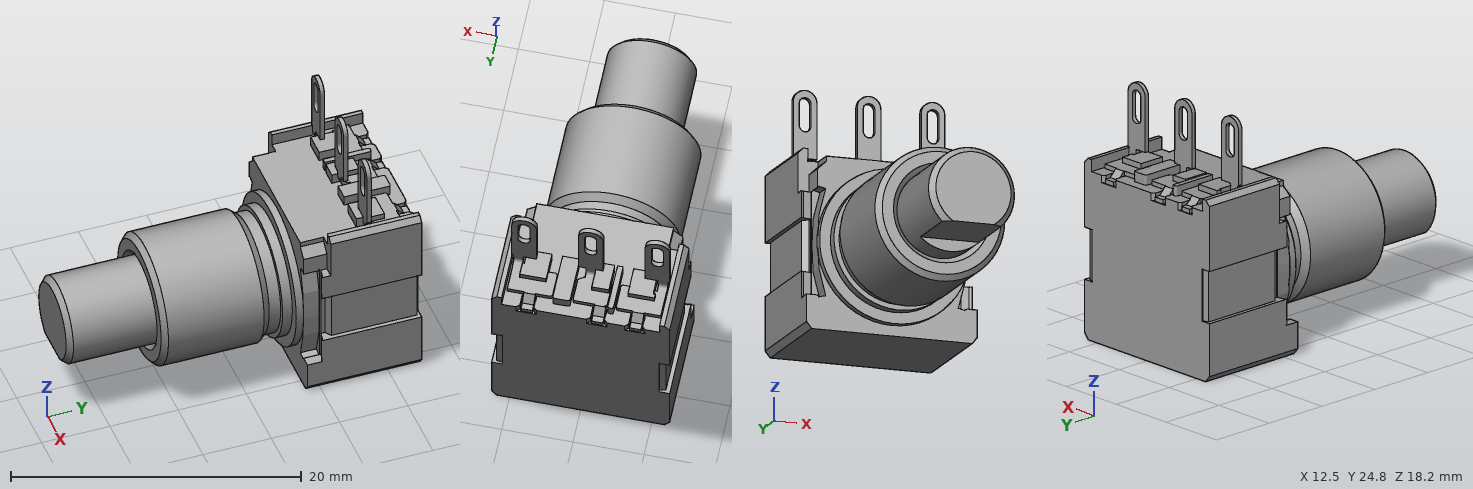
import cadquery as cq
import math


WIDTH = 12.5
HALF_WIDTH = WIDTH / 2
BOTTOM_Z = -6.25
TOP_Z = 6.15
FRONT_Y = -8.37
BOTTOM_CHAMFER_X = 0.37
BOTTOM_CHAMFER_Z = 0.47

WING_TOP_Z = 7.03
WING_INNER_X = 5.55
WING_FRONT_Y = -6.66
WING_CHAMFER = 0.37

SHOULDER_X = 5.47
SHOULDER_TOP_X = 4.8
SHOULDER_TOP_Z = 5.77
SHOULDER_BOTTOM_Z = 5.15

POCKET_TOP_Z = 3.81
POCKET_HALF_FLAT = 0.3
POCKET_FLOOR_X = 5.42
POCKET_END_X = 4.85
POCKET_BEND_X = 5.35
POCKET_BACK_Y = -7.2
POCKET_LIP = 0.12
PLATE_FRONT_Y = -7.33
PLATE_BEVEL_X = 6.05
PLATE_BEVEL_Y = -7.2
PLATE_INNER_Y = -7.1

CHANNEL_HALF_HEIGHT = 1.9
CHANNEL_X = 5.95
CHANNEL_INNER_X = 5.5
CHANNEL_BACK_Y = -0.22
CHANNEL_BACK_BEVEL_Y = -0.12
CHANNEL_FRONT_Y = -6.51
CHANNEL_FRONT_BEVEL_Y = -6.8

FLANGE_RADIUS = 5.5
FLANGE_FRONT_Y = -8.92
COLLAR_RADIUS = 4.7
COLLAR_FRONT_Y = -9.64
NECK_RADIUS = 4.33
NECK_FRONT_Y = -10.48
BARREL_RADIUS = 4.75
BARREL_BACK_Y = -11.0
BARREL_CHAMFER = 0.4
BUSHING_FRONT_Y = -18.4
COUNTERSINK = 0.4

SHAFT_RADIUS = 3.15
SHAFT_CHAMFER = 0.4
SHAFT_FRONT_Y = -24.77
SHAFT_FLAT_Z = -2.3
SHAFT_FLAT_BACK_Y = -20.0

BLOCK_TOP_Z = 6.89
BLOCK_BACK_Y = -2.18
BLOCK_FRONT_Y = -4.19
RIB_BACK_Y = -0.77
RIB_CORNER_RADIUS = 0.15
BLOCK_STEP = 0.15
OUTER_BLOCK_INNER_X = 2.87
OUTER_BLOCK_OUTER_X = 4.73
LEFT_STEP_Y = -2.53
RIGHT_STEP_Y = -3.12
MIDDLE_BLOCK_X = (-1.54, -0.32)
NARROW_RIB_X = (-2.13, -1.73)
WIDE_RIB_X = (0.92, 2.13)

SHEET = 0.32
BASE_BACK_Y = -1.11
BASE_FRONT_Y = -3.0
BASE_CORNER_RADIUS = 0.17
OUTER_BASE_INNER_X = 2.23
OUTER_BASE_OUTER_X = 5.4
MIDDLE_BASE_X = (-1.6, 0.8)
MIDDLE_BASE_FRONT_Y = -3.1
MIDDLE_BASE_CHAMFER_X = 0.42
MIDDLE_BASE_CHAMFER_Y = 0.3
TAB_PITCH = 4.68
TAB_WIDTH = 1.73
TAB_FRONT_Y = -3.77
TAB_BOTTOM_Z = 7.13
TAB_TOP_Z = 12.0
EYE_WIDTH = 0.85
EYE_BOTTOM_Z = 9.05
EYE_TOP_Z = 11.47
STEM_WIDTH = 0.67
STEM_FILLET = 0.1
STEM_OFFSET = 0.4
BEND_INNER_RADIUS = 0.27

OUTER_TAIL_X = 3.81
MIDDLE_TAIL_X = -1.15
TAIL_WIDTH = 0.82
TAIL_FLAT_Z = 5.92
TAIL_SLOPE_BACK_Y = -0.52
TAIL_SLOPE_FRONT_Y = -1.05
TAIL_END_Y = -0.062
NOTCH_HALF_WIDTH = 0.5
NOTCH_MOUTH_HALF_WIDTH = 0.72
NOTCH_MOUTH_Y = -0.2
NOTCH_FRONT_Y = -1.05
NOTCH_FLOOR_Z = TAIL_FLAT_Z - SHEET


def prism_xz(points, back_y, front_y):
    """Outline in X and Z, extruded along Y from back_y to front_y."""
    return cq.Workplane("XZ", origin=(0, back_y, 0)).polyline(points).close().extrude(back_y - front_y)


def prism_xy(points, bottom_z, top_z):
    """Outline in X and Y, extruded along Z from bottom_z to top_z."""
    return cq.Workplane("XY", origin=(0, 0, bottom_z)).polyline(points).close().extrude(top_z - bottom_z)


def box(x_range, y_range, z_range):
    """Rectangular block between the given limits."""
    sizes = [max(limits) - min(limits) for limits in (x_range, y_range, z_range)]
    corner = [min(limits) for limits in (x_range, y_range, z_range)]
    return cq.Workplane("XY").box(*sizes, centered=False).translate(tuple(corner))


def cut_both_sides(body, cutter):
    """Cut the -X cutter and its mirror image on the +X side."""
    return body.cut(cutter).cut(cutter.mirror("YZ"))


def block_with_wings():
    outline = [
        (-HALF_WIDTH + BOTTOM_CHAMFER_X, BOTTOM_Z),
        (HALF_WIDTH - BOTTOM_CHAMFER_X, BOTTOM_Z),
        (HALF_WIDTH, BOTTOM_Z + BOTTOM_CHAMFER_Z),
        (HALF_WIDTH, WING_TOP_Z - WING_CHAMFER),
        (HALF_WIDTH - WING_CHAMFER, WING_TOP_Z),
        (WING_INNER_X, WING_TOP_Z),
        (WING_INNER_X, TOP_Z),
        (-WING_INNER_X, TOP_Z),
        (-WING_INNER_X, WING_TOP_Z),
        (-HALF_WIDTH + WING_CHAMFER, WING_TOP_Z),
        (-HALF_WIDTH, WING_TOP_Z - WING_CHAMFER),
        (-HALF_WIDTH, BOTTOM_Z + BOTTOM_CHAMFER_Z),
    ]
    return prism_xz(outline, 0, FRONT_Y)


def shoulder_cutter():
    outline = [
        (-HALF_WIDTH, POCKET_TOP_Z),
        (-SHOULDER_X, POCKET_TOP_Z),
        (-SHOULDER_X, SHOULDER_BOTTOM_Z),
        (-SHOULDER_TOP_X, SHOULDER_TOP_Z),
        (-SHOULDER_TOP_X, WING_TOP_Z),
        (-HALF_WIDTH, WING_TOP_Z),
    ]
    return prism_xz(outline, WING_FRONT_Y, FRONT_Y)


def pocket_cutter():
    """Gap in front of the side plate, with a floor that bends inward towards both ends."""
    lip_z = POCKET_TOP_Z + POCKET_LIP
    floor = [
        (-SHOULDER_X, -POCKET_TOP_Z),
        (-POCKET_BEND_X, -lip_z),
        (-POCKET_END_X, -POCKET_TOP_Z),
        (-POCKET_BEND_X, -CHANNEL_HALF_HEIGHT),
        (-POCKET_FLOOR_X, -POCKET_HALF_FLAT),
        (-POCKET_FLOOR_X, POCKET_HALF_FLAT),
        (-POCKET_BEND_X, CHANNEL_HALF_HEIGHT),
        (-POCKET_END_X, POCKET_TOP_Z),
        (-POCKET_BEND_X, lip_z),
        (-SHOULDER_X, POCKET_TOP_Z),
    ]
    floor_cutter = prism_xz(floor, POCKET_BACK_Y, FRONT_Y)
    plate_front = [
        (-HALF_WIDTH, FRONT_Y),
        (-SHOULDER_X, FRONT_Y),
        (-SHOULDER_X, PLATE_INNER_Y),
        (-PLATE_BEVEL_X, PLATE_BEVEL_Y),
        (-HALF_WIDTH, PLATE_FRONT_Y),
    ]
    return floor_cutter.union(prism_xy(plate_front, -POCKET_TOP_Z, POCKET_TOP_Z))


def channel_cutter():
    outline = [
        (-HALF_WIDTH, 0),
        (-CHANNEL_INNER_X, 0),
        (-CHANNEL_INNER_X, CHANNEL_BACK_BEVEL_Y),
        (-CHANNEL_X, CHANNEL_BACK_Y),
        (-CHANNEL_X, CHANNEL_FRONT_Y),
        (-CHANNEL_INNER_X, CHANNEL_FRONT_BEVEL_Y),
        (-CHANNEL_INNER_X, PLATE_FRONT_Y),
        (-HALF_WIDTH, PLATE_FRONT_Y),
    ]
    return prism_xy(outline, -CHANNEL_HALF_HEIGHT, CHANNEL_HALF_HEIGHT)


def notch_cutter(center_x):
    outline = [
        (center_x - NOTCH_MOUTH_HALF_WIDTH, 0),
        (center_x - NOTCH_HALF_WIDTH, NOTCH_MOUTH_Y),
        (center_x - NOTCH_HALF_WIDTH, NOTCH_FRONT_Y),
        (center_x + NOTCH_HALF_WIDTH, NOTCH_FRONT_Y),
        (center_x + NOTCH_HALF_WIDTH, NOTCH_MOUTH_Y),
        (center_x + NOTCH_MOUTH_HALF_WIDTH, 0),
    ]
    return prism_xy(outline, NOTCH_FLOOR_Z, TOP_Z)


def bushing():
    """Flange, collar, neck and barrel, turned about the shaft axis."""
    profile = [
        (0, FRONT_Y),
        (FLANGE_RADIUS, FRONT_Y),
        (FLANGE_RADIUS, FLANGE_FRONT_Y),
        (COLLAR_RADIUS, FLANGE_FRONT_Y),
        (COLLAR_RADIUS, COLLAR_FRONT_Y),
        (NECK_RADIUS, COLLAR_FRONT_Y),
        (NECK_RADIUS, NECK_FRONT_Y),
        (BARREL_RADIUS, BARREL_BACK_Y),
        (BARREL_RADIUS, BUSHING_FRONT_Y + BARREL_CHAMFER),
        (BARREL_RADIUS - BARREL_CHAMFER, BUSHING_FRONT_Y),
        (0, BUSHING_FRONT_Y),
    ]
    return cq.Workplane("XY").polyline(profile).close().revolve(360, (0, 0), (0, 1))


def bore():
    """Blind bore for the shaft, countersunk at the mouth."""
    profile = [
        (0, FRONT_Y),
        (SHAFT_RADIUS, FRONT_Y),
        (SHAFT_RADIUS, BUSHING_FRONT_Y + COUNTERSINK),
        (SHAFT_RADIUS + COUNTERSINK, BUSHING_FRONT_Y),
        (0, BUSHING_FRONT_Y),
    ]
    return cq.Workplane("XY").polyline(profile).close().revolve(360, (0, 0), (0, 1))


def outer_block(side, step_y):
    """Guide block beside an outer terminal; side is -1 for -X and 1 for +X."""
    outer_x = side * OUTER_BLOCK_OUTER_X
    inner_x = side * OUTER_BLOCK_INNER_X
    stepped_x = side * (OUTER_BLOCK_OUTER_X - BLOCK_STEP)
    outline = [
        (inner_x, BLOCK_BACK_Y),
        (outer_x, BLOCK_BACK_Y),
        (outer_x, step_y),
        (stepped_x, step_y),
        (stepped_x, BLOCK_FRONT_Y),
        (inner_x, BLOCK_FRONT_Y),
    ]
    return prism_xy(outline, TOP_Z, BLOCK_TOP_Z)


def rib(x_range):
    bar = box(x_range, (RIB_BACK_Y, BLOCK_FRONT_Y), (TOP_Z, BLOCK_TOP_Z))
    return bar.edges("|Z and >Y").fillet(RIB_CORNER_RADIUS)


def outer_base(side):
    """Flat terminal base on the top face; side is -1 for -X and 1 for +X."""
    x_range = (side * OUTER_BASE_INNER_X, side * OUTER_BASE_OUTER_X)
    base = box(x_range, (BASE_BACK_Y, BASE_FRONT_Y), (TOP_Z, TOP_Z + SHEET))
    inner_edges = "|Z and >X" if side < 0 else "|Z and <X"
    return base.edges(inner_edges).fillet(BASE_CORNER_RADIUS)


def middle_base():
    base = box(MIDDLE_BASE_X, (BASE_BACK_Y, MIDDLE_BASE_FRONT_Y), (TOP_Z, TOP_Z + SHEET))
    base = base.edges("|Z and <X").fillet(BASE_CORNER_RADIUS)
    base = base.edges("|Z and >X and >Y").fillet(BASE_CORNER_RADIUS)
    return base.edges("|Z and >X and <Y").chamfer(MIDDLE_BASE_CHAMFER_Y, MIDDLE_BASE_CHAMFER_X)


def stem(center_x):
    """Strip that runs forward from the base and bends up to the tab."""
    outer_radius = BEND_INNER_RADIUS + SHEET
    inner_y = TAB_FRONT_Y + SHEET
    bend_y = TAB_FRONT_Y + outer_radius
    bend_z = TOP_Z + outer_radius
    diagonal = math.sqrt(0.5)
    outer_mid = (bend_y - diagonal * outer_radius, bend_z - diagonal * outer_radius)
    inner_mid = (bend_y - diagonal * BEND_INNER_RADIUS, bend_z - diagonal * BEND_INNER_RADIUS)
    return (
        cq.Workplane("YZ", origin=(center_x - STEM_WIDTH / 2, 0, 0))
        .moveTo(BASE_FRONT_Y, TOP_Z)
        .lineTo(bend_y, TOP_Z)
        .threePointArc(outer_mid, (TAB_FRONT_Y, bend_z))
        .lineTo(TAB_FRONT_Y, TAB_BOTTOM_Z)
        .lineTo(inner_y, TAB_BOTTOM_Z)
        .lineTo(inner_y, bend_z)
        .threePointArc(inner_mid, (bend_y, TOP_Z + SHEET))
        .lineTo(BASE_FRONT_Y, TOP_Z + SHEET)
        .close()
        .extrude(STEM_WIDTH)
    )


def tab(center_x):
    """Upright solder tab with a round top and a slotted eye."""
    radius = TAB_WIDTH / 2
    round_z = TAB_TOP_Z - radius
    plane = cq.Workplane("XZ", origin=(center_x, TAB_FRONT_Y + SHEET, 0))
    plate = (
        plane.moveTo(-radius, TAB_BOTTOM_Z)
        .lineTo(radius, TAB_BOTTOM_Z)
        .lineTo(radius, round_z)
        .threePointArc((0, TAB_TOP_Z), (-radius, round_z))
        .close()
        .extrude(SHEET)
    )
    eye = (
        plane.center(0, (EYE_BOTTOM_Z + EYE_TOP_Z) / 2)
        .slot2D(EYE_TOP_Z - EYE_BOTTOM_Z, EYE_WIDTH, 90)
        .extrude(SHEET)
    )
    return plate.cut(eye)


def tail(center_x):
    """Rear end of a terminal, sloping down into its notch."""
    outline = [
        (BASE_BACK_Y, NOTCH_FLOOR_Z),
        (TAIL_END_Y, NOTCH_FLOOR_Z),
        (TAIL_END_Y, TAIL_FLAT_Z),
        (TAIL_SLOPE_BACK_Y, TAIL_FLAT_Z),
        (TAIL_SLOPE_FRONT_Y, TOP_Z + SHEET),
        (BASE_BACK_Y, TOP_Z + SHEET),
    ]
    plane = cq.Workplane("YZ", origin=(center_x - TAIL_WIDTH / 2, 0, 0))
    return plane.polyline(outline).close().extrude(TAIL_WIDTH)


def terminal(base, tab_x, stem_x, tail_x):
    """Base, upright tab and tail in one piece, with fillets where the stem meets the tab."""
    upright = stem(stem_x).union(tab(tab_x))
    reach_x = STEM_WIDTH / 2 + STEM_FILLET / 2
    stem_corners = cq.selectors.BoxSelector(
        (stem_x - reach_x, TAB_FRONT_Y - SHEET, TAB_BOTTOM_Z - STEM_FILLET),
        (stem_x + reach_x, TAB_FRONT_Y + 2 * SHEET, TAB_BOTTOM_Z + STEM_FILLET),
    )
    upright = upright.edges("|Y").edges(stem_corners).fillet(STEM_FILLET)
    return base.union(upright).union(tail(tail_x))


def build_housing():
    body = block_with_wings()
    for cutter in (shoulder_cutter(), pocket_cutter(), channel_cutter()):
        body = cut_both_sides(body, cutter)
    for tail_x in (-OUTER_TAIL_X, MIDDLE_TAIL_X, OUTER_TAIL_X):
        body = body.cut(notch_cutter(tail_x))
    body = body.union(bushing()).cut(bore())

    for block in (
        outer_block(-1, LEFT_STEP_Y),
        outer_block(1, RIGHT_STEP_Y),
        box(MIDDLE_BLOCK_X, (BLOCK_BACK_Y, BLOCK_FRONT_Y), (TOP_Z, BLOCK_TOP_Z)),
        rib(NARROW_RIB_X),
        rib(WIDE_RIB_X),
    ):
        body = body.union(block)

    for side in (-1, 1):
        tab_x = side * TAB_PITCH
        body = body.union(terminal(outer_base(side), tab_x, tab_x + side * STEM_OFFSET, side * OUTER_TAIL_X))
    return body.union(terminal(middle_base(), 0, 0, MIDDLE_TAIL_X))


def build_shaft():
    """Round shaft seated in the bore, with a flat along its front end."""
    length = FRONT_Y - SHAFT_FRONT_Y
    rod = cq.Workplane("XZ", origin=(0, FRONT_Y, 0)).circle(SHAFT_RADIUS).extrude(length)
    rod = rod.faces("<Y").chamfer(SHAFT_CHAMFER)
    flat = box(
        (-SHAFT_RADIUS, SHAFT_RADIUS),
        (SHAFT_FLAT_BACK_Y, SHAFT_FRONT_Y),
        (-SHAFT_RADIUS, SHAFT_FLAT_Z),
    )
    return rod.cut(flat)


housing = build_housing()
shaft = build_shaft()
result = cq.Compound.makeCompound([housing.solids().val(), shaft.solids().val()])